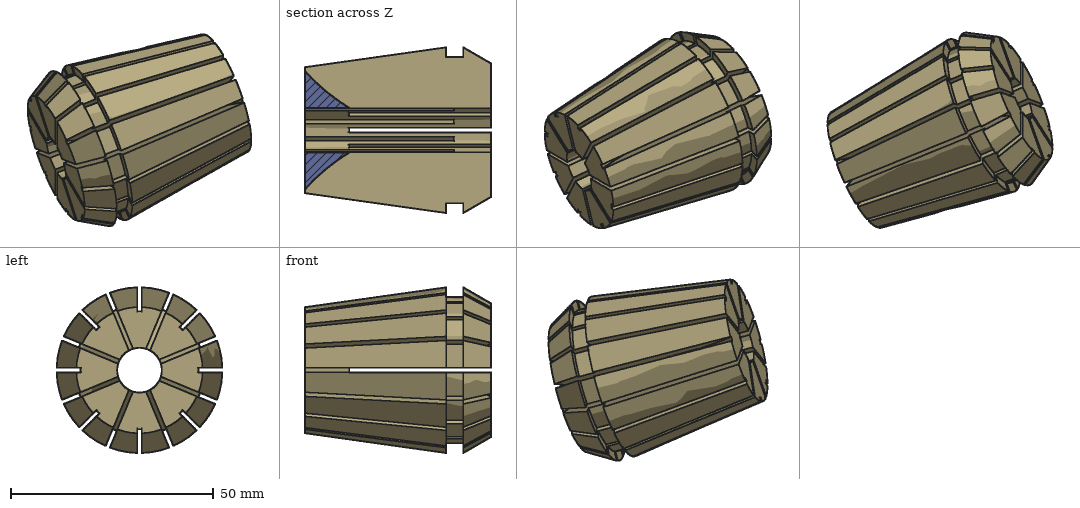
import cadquery as cq
import math

length = 46.0
max_radius = 20.5
bore_radius = 5.5
rear_taper_angle = 8.0
nose_taper_angle = 30.0

groove_start = 34.9
groove_width = 4.2
groove_radius = 18.1

slots_per_end = 8
slot_width = 1.1
cutter_clearance = 1.0
nose_slot_run_out = 11.0
rear_slot_run_out = 9.25
nose_slot_arc_radius = 50.0
rear_slot_arc_radius = 40.0
nose_slot_floor_radius = 14.6
rear_slot_floor_radius = 16.0

x_start = -length / 2
x_end = length / 2
groove_x0 = x_start + groove_start
groove_x1 = groove_x0 + groove_width
nose_length = x_end - groove_x1
rear_radius = max_radius - groove_start * math.tan(math.radians(rear_taper_angle))
nose_radius = max_radius - nose_length * math.tan(math.radians(nose_taper_angle))
slot_pitch = 360.0 / slots_per_end
slot_outer_radius = max_radius + cutter_clearance


def make_body():
    """Revolve the double-cone profile, bore included, about the X axis."""
    profile = [
        (x_start, bore_radius),
        (x_start, rear_radius),
        (groove_x0, max_radius),
        (groove_x0, groove_radius),
        (groove_x1, groove_radius),
        (groove_x1, max_radius),
        (x_end, nose_radius),
        (x_end, bore_radius),
    ]
    return cq.Workplane("XY").polyline(profile).close().revolve(360, (0, 0, 0), (1, 0, 0))


def make_slot(blind_x, open_x, run_out, floor_radius, arc_radius):
    """Radial slot along +Z whose floor sweeps in an arc from the blind end face down to the bore.

    blind_x is the end face where the slot is shallow, at floor_radius;
    open_x is the opposite end face, where the slot is open to the bore.
    """
    direction = math.copysign(1.0, open_x - blind_x)
    bore_x = blind_x + direction * run_out
    run = direction * run_out
    drop = bore_radius - floor_radius
    chord = math.hypot(run, drop)
    sagitta = arc_radius - math.sqrt(arc_radius ** 2 - (chord / 2) ** 2)

    middle = (
        (blind_x + bore_x) / 2 + sagitta * drop / chord * direction,
        (floor_radius + bore_radius) / 2 - sagitta * run_out / chord,
    )
    outline = (
        cq.Workplane("XZ", origin=(0, slot_width / 2, 0))
        .moveTo(blind_x, floor_radius)
        .threePointArc(middle, (bore_x, bore_radius))
        .lineTo(bore_x, 0)
        .lineTo(open_x, 0)
        .lineTo(open_x, slot_outer_radius)
        .lineTo(blind_x, slot_outer_radius)
        .close()
    )
    return outline.extrude(slot_width)


def cut_slots(body, slot, first_angle):
    """Cut one slot repeated evenly around the X axis."""
    for i in range(slots_per_end):
        angle = first_angle + i * slot_pitch
        body = body.cut(slot.rotate((0, 0, 0), (1, 0, 0), angle))
    return body


nose_slot = make_slot(x_start, x_end, nose_slot_run_out, nose_slot_floor_radius, nose_slot_arc_radius)
rear_slot = make_slot(x_end, x_start, rear_slot_run_out, rear_slot_floor_radius, rear_slot_arc_radius)

result = make_body()
result = cut_slots(result, nose_slot, 0)
result = cut_slots(result, rear_slot, slot_pitch / 2)